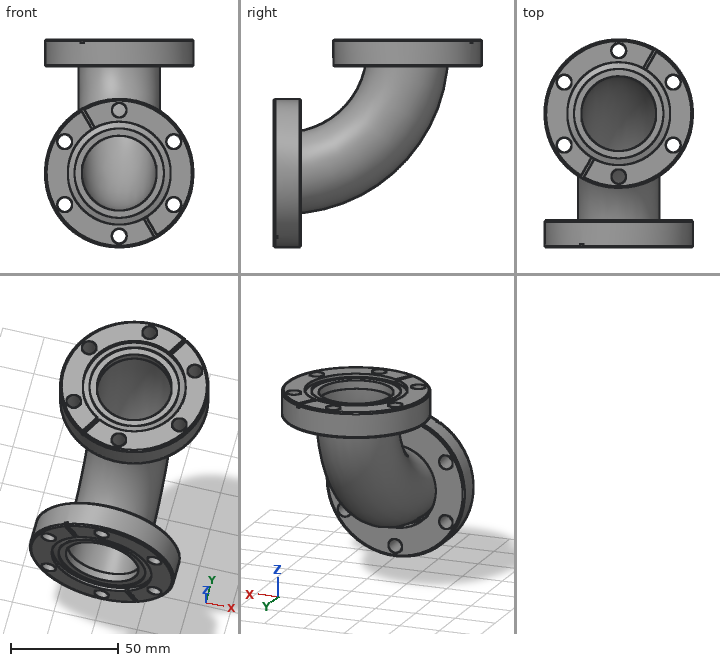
import cadquery as cq

overall_size = 97.1
flange_diameter = 69.35
port_reach = overall_size - flange_diameter / 2

flange_thickness = 12.7
edge_chamfer = 0.8
bolt_count = 6
bolt_circle_diameter = 58.8
bolt_hole_diameter = 6.8
bolt_start_angle = 90.0
ring_bore_diameter = 40.8

groove_width = 1.5
groove_depth = 1.65
top_groove_angle = 60.0
front_groove_angle = 180.0 - top_groove_angle

hub_diameter = 48.1
hub_rim_depth = 1.65
knife_diameter = 41.8
knife_tip_depth = 0.5
hub_face_depth = 1.2
hub_back_depth = 5.2

tube_outer_diameter = 38.2
tube_bore_diameter = 35.0
bend_radius = port_reach - hub_back_depth
bend_angle = 90.0


def make_flange_ring(groove_angle):
    """Bolt ring with its face at the port reach, pointing up; a rear lip holds the hub."""
    back_height = port_reach - flange_thickness
    ring = (
        cq.Workplane("XY", origin=(0, 0, back_height))
        .circle(flange_diameter / 2)
        .extrude(flange_thickness)
        .edges()
        .chamfer(edge_chamfer)
    )

    face = cq.Workplane("XY", origin=(0, 0, port_reach))
    passage = face.circle(ring_bore_diameter / 2).extrude(-flange_thickness)
    hub_seat = face.circle(hub_diameter / 2).extrude(-hub_back_depth)
    ring = ring.cut(passage).cut(hub_seat)

    bolt_holes = (
        face.polarArray(bolt_circle_diameter / 2, bolt_start_angle, 360, bolt_count)
        .circle(bolt_hole_diameter / 2)
        .extrude(-flange_thickness)
    )
    groove = (
        face.transformed(rotate=(0, 0, groove_angle))
        .rect(flange_diameter, groove_width)
        .extrude(-groove_depth)
    )
    return ring.cut(bolt_holes).cut(groove)


def make_hub():
    """Sealing hub with a raised knife edge, facing up and seated in the flange ring."""
    rim_height = port_reach - hub_rim_depth
    tip_height = port_reach - knife_tip_depth
    face_height = port_reach - hub_face_depth
    back_height = port_reach - hub_back_depth
    return (
        cq.Workplane("XZ")
        .moveTo(tube_bore_diameter / 2, back_height)
        .lineTo(hub_diameter / 2, back_height)
        .lineTo(hub_diameter / 2, rim_height)
        .lineTo(knife_diameter / 2, tip_height)
        .lineTo(knife_diameter / 2, face_height)
        .lineTo(tube_bore_diameter / 2, face_height)
        .close()
        .revolve(360, (0, 0, 0), (0, 1, 0))
    )


def make_elbow_tube():
    """Quarter bend running from the back of the top hub to the back of the front hub."""
    return (
        cq.Workplane("XY", origin=(0, 0, bend_radius))
        .circle(tube_outer_diameter / 2)
        .circle(tube_bore_diameter / 2)
        .revolve(bend_angle, (0, -bend_radius, 0), (-1, -bend_radius, 0))
    )


def turn_to_front(body):
    """Turn an upward-facing port body so that it faces -Y."""
    return body.rotate((0, 0, 0), (1, 0, 0), 90)


elbow_tube = make_elbow_tube()
top_flange_ring = make_flange_ring(top_groove_angle)
front_flange_ring = turn_to_front(make_flange_ring(front_groove_angle))
top_hub = make_hub()
front_hub = turn_to_front(make_hub())

result = cq.Compound.makeCompound(
    [
        elbow_tube.val(),
        top_flange_ring.val(),
        front_flange_ring.val(),
        top_hub.val(),
        front_hub.val(),
    ]
)